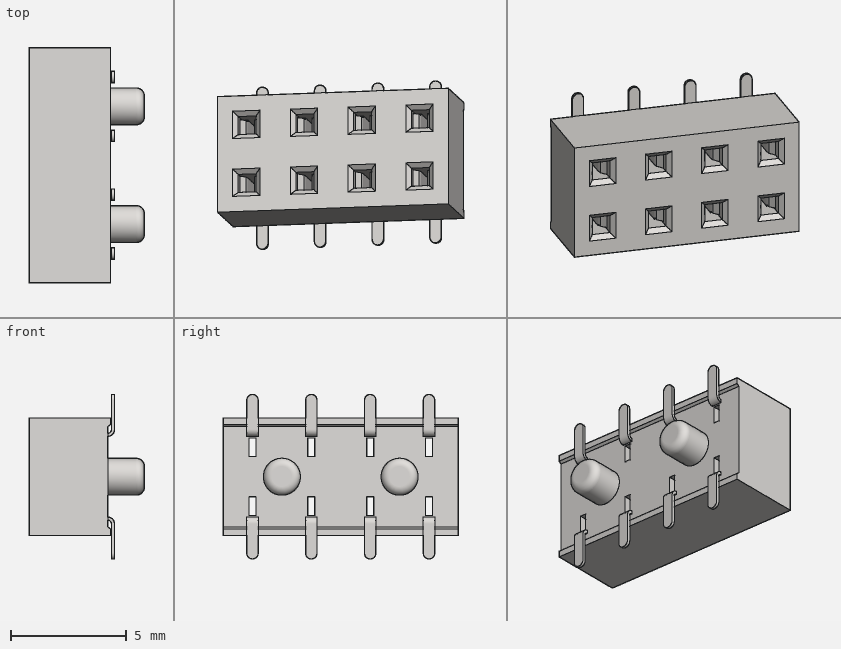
import cadquery as cq

PITCH = 2.54
COLUMNS = 4
ROWS = 2
HOUSING_DEPTH = 3.52
HOUSING_LENGTH = COLUMNS * PITCH
HOUSING_HEIGHT = ROWS * PITCH

RELIEF_DEPTH = 0.12
LIP_HEIGHT = 0.29
LIP_SLOPE_HEIGHT = 0.09
RELIEF_X = HOUSING_DEPTH - RELIEF_DEPTH

TOTAL_DEPTH = 4.98
PEG_DIAMETER = 1.6
PEG_SPACING = 2 * PITCH
PEG_FILLET = 0.35

TAIL_SPAN = 7.11
TAIL_WIDTH = 0.5
TAIL_THICKNESS = 0.14
TAIL_GAP = 0.03
TAIL_EMBED = 0.1
TAIL_FOOT_Z = 1.74
TAIL_INNER_X = HOUSING_DEPTH + TAIL_GAP
TAIL_BEND_RADIUS = TAIL_INNER_X - RELIEF_X
TAIL_OUTER_X = TAIL_INNER_X + TAIL_THICKNESS

MOUTH_SIZE = 1.2
THROAT_SIZE = 0.79
MOUTH_DEPTH = (MOUTH_SIZE - THROAT_SIZE) / 2
CONTACT_X = 0.61
CONTACT_CLEARANCE = 0.06
LEAD_IN_HALF_WIDTH = 0.25
LEAD_IN_DEPTH = 0.2
SHOULDER_HALF_WIDTH = 0.185
SHOULDER_DEPTH = 0.28
GAP_HALF_WIDTH = 0.145
GAP_DEPTH = 0.5

COLUMN_YS = [(i - (COLUMNS - 1) / 2) * PITCH for i in range(COLUMNS)]
ROW_Z = PITCH / 2


def make_housing():
    half_height = HOUSING_HEIGHT / 2
    lip_z = half_height - LIP_HEIGHT
    relief_z = lip_z - LIP_SLOPE_HEIGHT
    return (
        cq.Workplane("XZ")
        .moveTo(0, -half_height)
        .lineTo(HOUSING_DEPTH, -half_height)
        .lineTo(HOUSING_DEPTH, -lip_z)
        .lineTo(RELIEF_X, -relief_z)
        .lineTo(RELIEF_X, relief_z)
        .lineTo(HOUSING_DEPTH, lip_z)
        .lineTo(HOUSING_DEPTH, half_height)
        .lineTo(0, half_height)
        .close()
        .extrude(HOUSING_LENGTH / 2, both=True)
    )


def make_socket():
    """Cavity of one upper-row socket, centred on the X axis."""
    half_throat = THROAT_SIZE / 2
    mouth = (
        cq.Workplane("YZ")
        .rect(MOUTH_SIZE, MOUTH_SIZE)
        .workplane(offset=MOUTH_DEPTH)
        .rect(THROAT_SIZE, THROAT_SIZE)
        .loft(ruled=True)
    )
    throat = (
        cq.Workplane("YZ", origin=(MOUTH_DEPTH, 0, 0))
        .rect(THROAT_SIZE, THROAT_SIZE)
        .extrude(CONTACT_X - MOUTH_DEPTH)
    )
    through_gap = (
        cq.Workplane("YZ", origin=(MOUTH_DEPTH, 0, 0))
        .rect(2 * GAP_HALF_WIDTH, THROAT_SIZE)
        .extrude(HOUSING_DEPTH - MOUTH_DEPTH)
    )
    clearance = (
        cq.Workplane("YZ", origin=(CONTACT_X, 0, half_throat - CONTACT_CLEARANCE / 2))
        .rect(THROAT_SIZE, CONTACT_CLEARANCE)
        .extrude(GAP_DEPTH)
    )
    lead_in = (
        cq.Workplane("XY", origin=(0, 0, -half_throat))
        .moveTo(CONTACT_X, 0)
        .lineTo(CONTACT_X, half_throat)
        .lineTo(CONTACT_X + LEAD_IN_DEPTH, LEAD_IN_HALF_WIDTH)
        .lineTo(CONTACT_X + SHOULDER_DEPTH, SHOULDER_HALF_WIDTH)
        .lineTo(CONTACT_X + GAP_DEPTH, GAP_HALF_WIDTH)
        .lineTo(CONTACT_X + GAP_DEPTH, 0)
        .close()
        .extrude(THROAT_SIZE - CONTACT_CLEARANCE)
    )
    passage = throat.union(through_gap).union(clearance)
    return mouth.union(passage).union(lead_in).union(lead_in.mirror("XZ"))


def make_peg():
    """Round peg along +X with a rounded end."""
    return (
        cq.Workplane("YZ", origin=(RELIEF_X, 0, 0))
        .circle(PEG_DIAMETER / 2)
        .extrude(TOTAL_DEPTH - RELIEF_X)
        .faces(">X")
        .edges()
        .fillet(PEG_FILLET)
    )


def make_tail():
    """Upper solder tail, centred on Y = 0."""
    tip_radius = TAIL_WIDTH / 2
    tip_centre_z = TAIL_SPAN / 2 - tip_radius
    inner_foot_z = TAIL_FOOT_Z + TAIL_THICKNESS
    bend_x = TAIL_INNER_X - TAIL_BEND_RADIUS
    bend_z = inner_foot_z + TAIL_BEND_RADIUS
    outer_radius = TAIL_BEND_RADIUS + TAIL_THICKNESS
    embedded_x = RELIEF_X - TAIL_EMBED
    strip = (
        cq.Workplane("XZ")
        .moveTo(embedded_x, TAIL_FOOT_Z)
        .lineTo(bend_x, TAIL_FOOT_Z)
        .radiusArc((TAIL_OUTER_X, bend_z), -outer_radius)
        .lineTo(TAIL_OUTER_X, tip_centre_z)
        .lineTo(TAIL_INNER_X, tip_centre_z)
        .lineTo(TAIL_INNER_X, bend_z)
        .radiusArc((bend_x, inner_foot_z), TAIL_BEND_RADIUS)
        .lineTo(embedded_x, inner_foot_z)
        .close()
        .extrude(TAIL_WIDTH / 2, both=True)
    )
    tip = (
        cq.Workplane("YZ", origin=(TAIL_INNER_X, 0, tip_centre_z))
        .circle(tip_radius)
        .extrude(TAIL_THICKNESS)
    )
    return strip.union(tip)


result = make_housing()
upper_socket = make_socket()
lower_socket = upper_socket.mirror("XY")
upper_tail = make_tail()
lower_tail = upper_tail.mirror("XY")
peg = make_peg()

for y in COLUMN_YS:
    result = result.union(upper_tail.translate((0, y, 0)))
    result = result.union(lower_tail.translate((0, y, 0)))
    result = result.cut(upper_socket.translate((0, y, ROW_Z)))
    result = result.cut(lower_socket.translate((0, y, -ROW_Z)))

for side in (-1, 1):
    result = result.union(peg.translate((0, side * PEG_SPACING / 2, 0)))